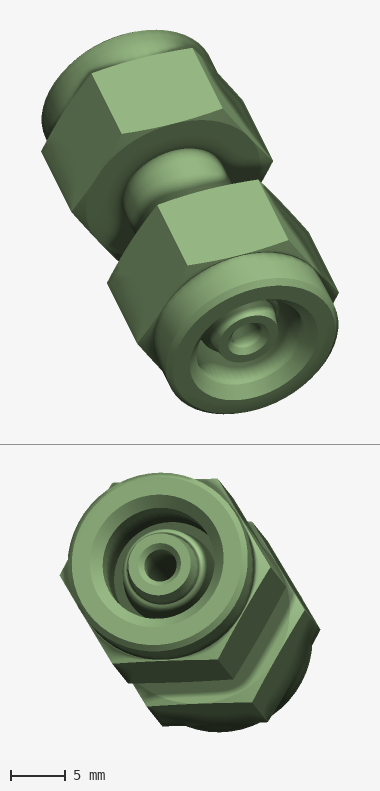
import cadquery as cq
import math

total_length = 35.0
half_length = total_length / 2

across_flats = 17.0
corner_radius = across_flats / math.sqrt(3)
nut_length = 13.0
collar_length = 4.0
collar_radius = 8.4
collar_chamfer = 0.5
hex_chamfer_angle = 15.0

mouth_radius = 6.23
bore_radius = 5.2
mouth_depth = mouth_radius - bore_radius
bore_depth = 7.0

shank_radius = 5.0
nipple_recess = 1.47
tip_radius = 2.9
neck_radius = 3.32
step_radius = 3.9
root_radius = 4.35
tip_cone_length = 2.03
step_rounding = step_radius - neck_radius
passage_radius = 1.5
passage_chamfer = 0.5


def cylinder(radius, start, length):
    """Solid cylinder around the X axis, starting at X = start."""
    return cq.Workplane("YZ", origin=(start, 0, 0)).circle(radius).extrude(length)


def make_hexagon(start, length):
    """Hexagon with flats facing up and down, both ends beveled down to the flats circle."""
    prism = (
        cq.Workplane("YZ", origin=(start, 0, 0))
        .polygon(6, 2 * corner_radius)
        .extrude(length)
    )
    flat_radius = across_flats / 2
    bevel_length = (corner_radius - flat_radius) * math.tan(math.radians(hex_chamfer_angle))
    bevel_envelope = (
        cq.Workplane("XY")
        .moveTo(start, 0)
        .lineTo(start, flat_radius)
        .lineTo(start + bevel_length, corner_radius)
        .lineTo(start + length - bevel_length, corner_radius)
        .lineTo(start + length, flat_radius)
        .lineTo(start + length, 0)
        .close()
        .revolve(360, (0, 0, 0), (1, 0, 0))
    )
    return prism.intersect(bevel_envelope)


def make_nut():
    """Nut at the -X end, its collar and open mouth facing -X."""
    nut_face = -half_length
    collar = cylinder(collar_radius, nut_face, nut_length)
    collar = collar.faces("<X").chamfer(collar_chamfer)
    hexagon = make_hexagon(nut_face + collar_length, nut_length - collar_length)
    mouth = (
        cq.Workplane("XY")
        .moveTo(nut_face, 0)
        .lineTo(nut_face, mouth_radius)
        .lineTo(nut_face + mouth_depth, bore_radius)
        .lineTo(nut_face + bore_depth, bore_radius)
        .lineTo(nut_face + bore_depth, 0)
        .close()
        .revolve(360, (0, 0, 0), (1, 0, 0))
    )
    shank_hole = cylinder(shank_radius, nut_face, nut_length)
    return collar.union(hexagon).cut(mouth).cut(shank_hole)


def make_nipple():
    """Solid stepped nipple at the -X end, ending at the shank's shoulder, flush with the bore floor."""
    tip = -half_length + nipple_recess
    neck = tip + tip_cone_length
    step = neck + step_rounding
    shoulder = -half_length + bore_depth
    return (
        cq.Workplane("XY")
        .moveTo(tip, 0)
        .lineTo(tip, tip_radius)
        .lineTo(neck, neck_radius)
        .radiusArc((step, step_radius), step_rounding)
        .lineTo(shoulder, root_radius)
        .lineTo(shoulder, 0)
        .close()
        .revolve(360, (0, 0, 0), (1, 0, 0))
    )


def make_body():
    """Shank with a nipple at each end and a passage right through."""
    tip = half_length - nipple_recess
    shoulder = half_length - bore_depth
    nipple = make_nipple()
    shank = cylinder(shank_radius, -shoulder, 2 * shoulder)
    outside = shank.union(nipple).union(nipple.mirror("YZ"))
    drilled = outside.cut(cylinder(passage_radius, -tip, 2 * tip))
    passage_rims = drilled.faces("<X or >X").edges(cq.selectors.RadiusNthSelector(0))
    return passage_rims.chamfer(passage_chamfer)


body = make_body()

nuts = []
for turn in (0, 180):
    nuts.append(make_nut().rotate((0, 0, 0), (0, 0, 1), turn))

result = cq.Compound.makeCompound([body.val(), *[nut.val() for nut in nuts]])